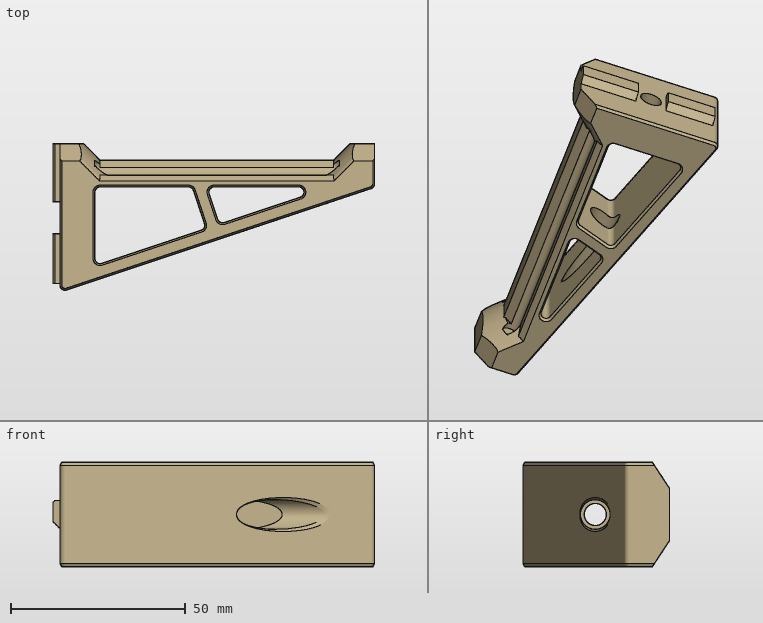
import cadquery as cq
import math

length = 92.0
height = 30.0
back_y = 41.95
half_height = height / 2

body_left = 2.0
front_slope = 1 / 3
corner_radius = 1.5
front_angle = math.atan(front_slope)
acute_half_angle = (math.pi / 2 - front_angle) / 2
sharp_corner_y = corner_radius * (1 - 1 / math.tan(acute_half_angle))

bevel_drop = 1.0
bevel_inset = 0.55
bevel_taper = math.degrees(math.atan2(bevel_inset, bevel_drop))
back_bevel_drop = 7.5
back_bevel_depth = 5.0

trough_left = 13.5
trough_right = 80.2
trough_floor_y = 37.3
floor_crown_radius = 21.9
end_crown_radius = 29.2
end_bevel_inset = 0.2

groove_diameter = 4.3
groove_y = 35.05
groove_z = 8.9
groove_bottom_z = groove_z - groove_diameter / 2
groove_top_z = groove_z + groove_diameter / 2
groove_lip_y = 32.9
groove_overrun = 1.7
ridge_half_width = 3.6

window_back_y = 29.5
window_left = 12.05
front_wall = 4.3
first_window_right = 39.8
second_window_left = 44.1

screw_y = 20.7
screw_diameter = 6.3
driver_diameter = 8.5
driver_rim_bevel = 0.6

tab_half_width = 4.05
tab_top_bevel = 0.6
tab_spans = [(1.9, 16.2), (25.3, back_y)]


def front_y(x):
    """Y of the sloped front at `x`."""
    return sharp_corner_y + (x - body_left) * front_slope


def front_x(y):
    """X at which the sloped front reaches `y`."""
    return body_left + (y - sharp_corner_y) / front_slope


def crown_drop(radius, z):
    """How far a crown falls away from its crest at height `z`."""
    return radius - math.sqrt(radius ** 2 - z ** 2)


def with_mirror(upper):
    """The upper half joined to its mirror image below Z = 0."""
    return upper.union(upper.mirror("XY"))


def bevelled_prism(points, rounded_edges, taper):
    """Full-height prism with rounded corners, its rims leaning in by `taper` degrees."""
    core = cq.Workplane("XY").polyline(points).close().extrude(half_height - bevel_drop)
    core = core.edges(rounded_edges).fillet(corner_radius)
    rim = core.faces(">Z").wires().toPending().workplane()
    return with_mirror(rim.extrude(bevel_drop, taper=taper))


def make_body():
    past_back = back_y + corner_radius
    wedge = bevelled_prism(
        [
            (body_left, sharp_corner_y),
            (length, front_y(length)),
            (length, past_back),
            (body_left, past_back),
        ],
        "|Z and (not >Y)",
        bevel_taper,
    )
    upper_envelope = (
        cq.Workplane("YZ")
        .moveTo(sharp_corner_y, 0)
        .lineTo(sharp_corner_y, half_height)
        .lineTo(back_y - back_bevel_depth, half_height)
        .lineTo(back_y, half_height - back_bevel_drop)
        .lineTo(back_y, 0)
        .close()
        .extrude(length)
    )
    return wedge.intersect(with_mirror(upper_envelope))


def web_foot(x):
    """Where the web side that starts at `x` on the windows' back edge meets the front wall."""
    drop = (window_back_y - front_y(x) - front_wall) / (1 + front_slope ** 2)
    return x + drop * front_slope, window_back_y - drop


def make_windows():
    first_corners = [
        (window_left, front_y(window_left) + front_wall),
        web_foot(first_window_right),
        (first_window_right, window_back_y),
        (window_left, window_back_y),
    ]
    second_corners = [
        web_foot(second_window_left),
        (front_x(window_back_y - front_wall), window_back_y),
        (second_window_left, window_back_y),
    ]
    first = bevelled_prism(first_corners, "|Z", -bevel_taper)
    return first.union(bevelled_prism(second_corners, "|Z", -bevel_taper))


def behind_floor():
    """Everything behind the trough floor: a flat ridge, open grooves and crowned shoulders."""
    lip_drop = trough_floor_y - groove_lip_y
    lip_z = math.sqrt(floor_crown_radius ** 2 - (floor_crown_radius - lip_drop) ** 2)
    shoulder_z = (lip_z + half_height) / 2
    shoulder_y = trough_floor_y - crown_drop(floor_crown_radius, shoulder_z)
    rim_y = trough_floor_y - crown_drop(floor_crown_radius, half_height)
    upper = (
        cq.Workplane("YZ")
        .moveTo(trough_floor_y, 0)
        .lineTo(trough_floor_y, ridge_half_width)
        .lineTo(groove_y, groove_bottom_z)
        .lineTo(groove_lip_y, groove_z)
        .lineTo(groove_lip_y, lip_z)
        .threePointArc((shoulder_y, shoulder_z), (rim_y, half_height))
        .lineTo(back_y, half_height)
        .lineTo(back_y, 0)
        .close()
        .extrude(length)
    )
    return with_mirror(upper)


def inside_end(corner_x, inward):
    """The trough side of a 45 degree end wall; `inward` is +1 or -1 along X."""
    bevel_z = half_height - bevel_drop
    bevel_start = -crown_drop(end_crown_radius, bevel_z)
    bevel_end = -crown_drop(end_crown_radius, half_height) - end_bevel_inset
    section_plane = cq.Plane((corner_x, trough_floor_y, 0), xDir=(inward, 1, 0), normal=(1, -inward, 0))
    return (
        cq.Workplane(section_plane)
        .moveTo(bevel_end, -half_height)
        .lineTo(bevel_start, -bevel_z)
        .threePointArc((0, 0), (bevel_start, bevel_z))
        .lineTo(bevel_end, half_height)
        .lineTo(length, half_height)
        .lineTo(length, -half_height)
        .close()
        .extrude(length, both=True)
    )


def make_trough():
    between_ends = inside_end(trough_left, 1).intersect(inside_end(trough_right, -1))
    return behind_floor().intersect(between_ends)


def make_grooves():
    """Round grooves running into the end walls, each opened towards the ridge."""
    span = trough_right - trough_left
    bore = (
        cq.Workplane("YZ")
        .workplane(offset=trough_left - groove_overrun)
        .center(groove_y, groove_z)
        .circle(groove_diameter / 2)
        .extrude(span + 2 * groove_overrun)
    )
    opening = (
        cq.Workplane("YZ")
        .workplane(offset=trough_left)
        .moveTo(groove_y, groove_bottom_z)
        .lineTo(trough_floor_y, ridge_half_width)
        .lineTo(trough_floor_y, groove_top_z)
        .lineTo(groove_y, groove_top_z)
        .close()
        .extrude(span)
    )
    return with_mirror(bore.union(opening))


def make_tabs():
    section = [
        (0, tab_half_width - tab_top_bevel),
        (tab_top_bevel, tab_half_width),
        (body_left, tab_half_width),
        (body_left, -tab_half_width),
        (0, body_left - tab_half_width),
    ]
    tabs = cq.Workplane("XY")
    for start, end in tab_spans:
        tab = cq.Workplane("XZ").workplane(offset=-end).polyline(section).close().extrude(end - start)
        tabs = tabs.union(tab)
    return tabs


def make_screw_passage():
    """Screw hole through the left wall, then driver access through the web and the front."""
    axis = cq.Workplane("YZ").center(screw_y, 0)
    screw_hole = axis.circle(screw_diameter / 2).extrude(window_left)
    driver_hole = axis.workplane(offset=window_left).circle(driver_diameter / 2).extrude(length)
    return screw_hole.union(driver_hole)


def bevel_driver_rim(part):
    """Bevel the elliptical rim where the driver hole leaves the sloped front."""
    middle_x = (body_left + length) / 2
    front_middle = (middle_x, front_y(middle_x), 0)
    front_face = part.faces(cq.selectors.NearestToPointSelector(front_middle)).val()
    rim_edges = front_face.innerWires()[0].Edges()
    return part.newObject(rim_edges).chamfer(driver_rim_bevel)


result = (
    make_body()
    .cut(make_windows())
    .cut(make_trough())
    .cut(make_grooves())
    .union(make_tabs())
    .cut(make_screw_passage())
)
result = bevel_driver_rim(result)